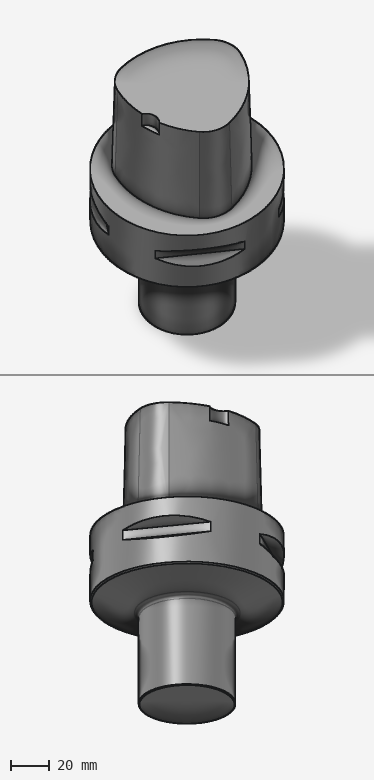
import math

import cadquery as cq

STEM_DIAMETER = 50.0
STEM_CHAMFER = 0.5

FLANGE_DIAMETER = 100.0
FLANGE_TOP_Z = 95.0
FLANGE_LOWER_EDGE_Z = 57.6
FLANGE_EDGE_CHAMFER = 0.8
CONE_ANGLE = 15.0
STEM_FILLET = 3.0

SHANK_LENGTH = 60.0
SHANK_WIDTH = 72.2
LOBE_ECCENTRICITY = 2.76
WIDTH_TAPER = 1 / 20
SHANK_TAPER_ANGLE = math.degrees(math.atan(WIDTH_TAPER / 2))
LOBE_ANGLES = (90, 210, 330)
LOBE_PITCH = 120
LOBE_HALF_ARC = 30

NOTCH_RADIUS = 7.0
NOTCH_DEPTH = 3.05
NOTCH_HEIGHT = 8.3

GRIPPER_COUNT = 4
GRIPPER_START_ANGLE = 45.0
GRIPPER_Z = 78.8
GRIPPER_FLOOR_RADIUS = 44.25
GRIPPER_FLOOR_HEIGHT = 5.3
GRIPPER_SIDE_ANGLE = 30.0

stem_radius = STEM_DIAMETER / 2
flange_radius = FLANGE_DIAMETER / 2


def polar(radius, angle):
    """Point at the given radius and angle in degrees."""
    return radius * math.cos(math.radians(angle)), radius * math.sin(math.radians(angle))


def make_body():
    """Revolved stem, cone and flange, with edge chamfers and the stem fillet."""
    cone_slope = math.tan(math.radians(CONE_ANGLE))
    cone_outer_radius = flange_radius - FLANGE_EDGE_CHAMFER
    cone_inner_z = FLANGE_LOWER_EDGE_Z - (cone_outer_radius - stem_radius) * cone_slope
    tangent_length = STEM_FILLET * math.tan(math.radians((90 - CONE_ANGLE) / 2))
    fillet_x = stem_radius + STEM_FILLET
    fillet_z = cone_inner_z - tangent_length
    fillet_end_dx, fillet_end_dz = polar(STEM_FILLET, 90 + CONE_ANGLE)
    fillet_mid_dx, fillet_mid_dz = polar(STEM_FILLET, (180 + 90 + CONE_ANGLE) / 2)
    return (
        cq.Workplane("XZ")
        .moveTo(0, 0)
        .lineTo(stem_radius - STEM_CHAMFER, 0)
        .lineTo(stem_radius, STEM_CHAMFER)
        .lineTo(stem_radius, fillet_z)
        .threePointArc(
            (fillet_x + fillet_mid_dx, fillet_z + fillet_mid_dz),
            (fillet_x + fillet_end_dx, fillet_z + fillet_end_dz),
        )
        .lineTo(cone_outer_radius, FLANGE_LOWER_EDGE_Z)
        .lineTo(flange_radius, FLANGE_LOWER_EDGE_Z + FLANGE_EDGE_CHAMFER)
        .lineTo(flange_radius, FLANGE_TOP_Z)
        .lineTo(0, FLANGE_TOP_Z)
        .close()
        .revolve(360, (0, 0), (0, 1))
    )


def make_shank():
    """Tapered shank of constant width, with one lobe toward +Y."""
    tip_radius = SHANK_WIDTH / 2 + LOBE_ECCENTRICITY
    flank_radius = SHANK_WIDTH / 2 - LOBE_ECCENTRICITY
    center_radius = LOBE_ECCENTRICITY / (1 - math.cos(math.radians(LOBE_HALF_ARC)))
    lobe_arc_radius = tip_radius - center_radius

    def lobe_end(lobe_angle, side):
        """End of a lobe arc: side is -1 for its start and 1 for its finish."""
        center_x, center_y = polar(center_radius, lobe_angle)
        dx, dy = polar(lobe_arc_radius, lobe_angle + side * LOBE_HALF_ARC)
        return center_x + dx, center_y + dy

    outline = cq.Workplane("XY", origin=(0, 0, FLANGE_TOP_Z)).moveTo(*lobe_end(LOBE_ANGLES[0], -1))
    for lobe_angle in LOBE_ANGLES:
        outline = outline.threePointArc(polar(tip_radius, lobe_angle), lobe_end(lobe_angle, 1))
        outline = outline.threePointArc(
            polar(flank_radius, lobe_angle + LOBE_PITCH / 2), lobe_end(lobe_angle + LOBE_PITCH, -1)
        )
    return outline.close().extrude(SHANK_LENGTH, taper=SHANK_TAPER_ANGLE)


def make_shank_notch():
    """Round-backed cutter for the notch at the shank top."""
    top_z = FLANGE_TOP_Z + SHANK_LENGTH
    top_shrink = SHANK_LENGTH * WIDTH_TAPER / 2
    flank_y = -(SHANK_WIDTH / 2 - LOBE_ECCENTRICITY - top_shrink)
    return (
        cq.Workplane("XY", origin=(0, 0, top_z - NOTCH_HEIGHT))
        .center(0, flank_y + NOTCH_DEPTH - NOTCH_RADIUS)
        .circle(NOTCH_RADIUS)
        .extrude(NOTCH_HEIGHT)
    )


def make_gripper_notch(angle):
    """Trapezoidal groove across the flange, widening outward from a flat floor."""
    depth = flange_radius - GRIPPER_FLOOR_RADIUS
    floor_half = GRIPPER_FLOOR_HEIGHT / 2
    mouth_half = floor_half + depth * math.tan(math.radians(GRIPPER_SIDE_ANGLE))
    return (
        cq.Workplane("XZ", origin=(0, 0, GRIPPER_Z))
        .polyline(
            [
                (GRIPPER_FLOOR_RADIUS, -floor_half),
                (flange_radius, -mouth_half),
                (flange_radius, mouth_half),
                (GRIPPER_FLOOR_RADIUS, floor_half),
            ]
        )
        .close()
        .extrude(flange_radius, both=True)
        .rotate((0, 0, 0), (0, 0, 1), angle)
    )


result = make_body().union(make_shank()).cut(make_shank_notch())
for index in range(GRIPPER_COUNT):
    notch_angle = GRIPPER_START_ANGLE + index * 360 / GRIPPER_COUNT
    result = result.cut(make_gripper_notch(notch_angle))